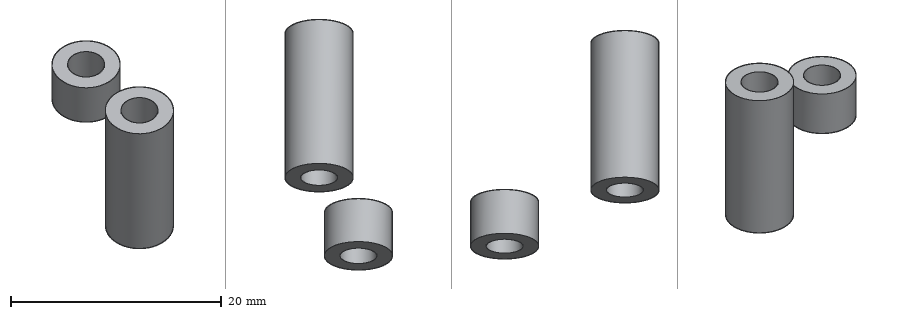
import cadquery as cq

overall_length = 24.7
outer_diameter = 6.5
bore_diameter = 3.5
short_height = 4.52
tall_height = 15.1

axis_offset = (overall_length - outer_diameter) / 2


def make_sleeve(x_position, height):
    """Upright plain sleeve with a through bore, standing on the XY plane."""
    return (
        cq.Workplane("XY")
        .center(x_position, 0)
        .circle(outer_diameter / 2)
        .circle(bore_diameter / 2)
        .extrude(height)
    )


short_sleeve = make_sleeve(-axis_offset, short_height)
tall_sleeve = make_sleeve(axis_offset, tall_height)

result = cq.Compound.makeCompound([short_sleeve.val(), tall_sleeve.val()])